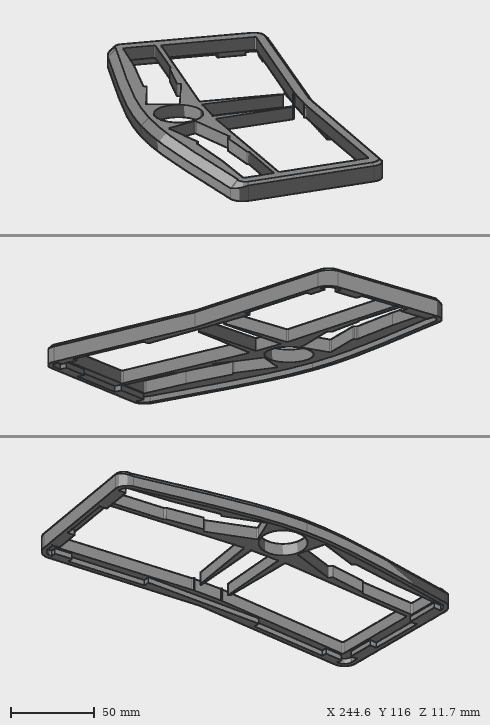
import cadquery as cq
import math

half_width = 122.3
back_y = 58.0
front_y = -58.0
height = 11.7

back_slope = math.radians(4.3)
side_tilt = math.radians(4.8)
front_slope = math.radians(11.3)
corner_radius = 8.5
front_corner_y = -31.8
front_bow = (49.0, -53.0)

back_bevel = 2.2
side_bevel = 1.7
front_bevel = 5.0
corner_steps = 8

window_tilt_degrees = 4.6
window_radius = 1.0
window_width = 96.0
window_depth = 58.5
window_inner_corner = (15.2, -16.0)

slot_half_width = 10.0
slot_back_y = 42.3
spine_tip_y = 34.0
spine_tip_slant = 1.2
tip_gap_back_y = 41.3

lower_window_points = [
    (112.0, -11.5),
    (73.5, -14.5),
    (73.0, -15.5),
    (47.7, -19.3),
    (46.2, -17.0),
    (14.7, -28.5),
    (21.3, -47.7),
    (48.5, -38.0),
    (50.1, -39.5),
    (83.0, -34.2),
    (113.5, -31.3),
]

ball_diameter = 29.3
ball_y = -34.2

recess_depth = 3.7
rim = 3.0

pad_gap = 1.5
pad_reach = 9.8
middle_pad_half_width = 40.8
middle_pad_y = 46.0
corner_pad_length = 12.0
side_pad_spans = [(35.2, 52.5), (-23.2, -1.5)]


def polar(center, radius, angle, z):
    """Point at an angle and distance around a centre, at height z."""
    return cq.Vector(
        center[0] + radius * math.cos(angle),
        center[1] + radius * math.sin(angle),
        z,
    )


back_angle = math.pi / 2 + back_slope
side_angle = side_tilt
front_angle = front_slope - math.pi / 2
front_center = (half_width - corner_radius, front_corner_y)
back_center_y = back_y - corner_radius
back_center = (
    front_center[0] - (back_center_y - front_corner_y) * math.tan(side_tilt),
    back_center_y,
)
back_tangent = polar(back_center, corner_radius, back_angle, 0)
back_middle_y = back_tangent.y - back_tangent.x * math.tan(back_slope)


def half_outline(inset_of, z_of):
    """Edges of the right half, from the back middle round to the front middle.

    inset_of and z_of give the inward shift and the height from the local bevel.
    """

    def corner(center, start_angle, end_angle, start_bevel, end_bevel):
        points = []
        for step in range(corner_steps + 1):
            share = step / corner_steps
            angle = start_angle + share * (end_angle - start_angle)
            bevel = start_bevel + share * (end_bevel - start_bevel)
            points.append(polar(center, corner_radius - inset_of(bevel), angle, z_of(bevel)))
        return points

    back_corner = corner(back_center, back_angle, side_angle, back_bevel, side_bevel)
    front_corner = corner(front_center, side_angle, front_angle, side_bevel, front_bevel)
    back_inset = inset_of(back_bevel) / math.cos(back_slope)
    back_start = cq.Vector(0, back_middle_y - back_inset, z_of(back_bevel))
    front_end = cq.Vector(0, front_y + inset_of(front_bevel), z_of(front_bevel))
    front_between = cq.Vector(
        front_bow[0], front_bow[1] + inset_of(front_bevel), z_of(front_bevel)
    )
    front_tangents = [
        cq.Vector(-math.cos(front_slope), -math.sin(front_slope), 0),
        cq.Vector(-1, 0, 0),
    ]
    return [
        cq.Edge.makeLine(back_start, back_corner[0]),
        cq.Edge.makeSpline(back_corner),
        cq.Edge.makeLine(back_corner[-1], front_corner[0]),
        cq.Edge.makeSpline(front_corner),
        cq.Edge.makeSpline([front_corner[-1], front_between, front_end], front_tangents),
    ]


def closed_wire(edges):
    """Half outline closed along the middle plane."""
    middle = cq.Edge.makeLine(edges[-1].endPoint(), edges[0].startPoint())
    return cq.Wire.assembleEdges(edges + [middle])


def half_body():
    """Right half of the solid frame: upright walls, bevels, flat top and bottom."""
    loops = [
        half_outline(lambda bevel: 0, lambda bevel: 0),
        half_outline(lambda bevel: 0, lambda bevel: height - bevel),
        half_outline(lambda bevel: bevel, lambda bevel: height),
    ]
    faces = []
    for lower, upper in zip(loops, loops[1:]):
        for lower_edge, upper_edge in zip(lower, upper):
            faces.append(cq.Face.makeRuledSurface(lower_edge, upper_edge))
    for loop in (loops[0], loops[-1]):
        faces.append(cq.Face.makeFromWires(closed_wire(loop)))
    section = [loop[0].startPoint() for loop in loops]
    section += [loop[-1].endPoint() for loop in reversed(loops)]
    faces.append(cq.Face.makeFromWires(cq.Wire.makePolygon(section, close=True)))
    half = cq.Solid.makeSolid(cq.Shell.makeShell(faces))
    return cq.Workplane(obj=half.fix())


def both_sides(half):
    """A shape joined with its mirror image across the YZ plane."""
    return half.union(half.mirror("YZ"))


def prism(points):
    """Straight-sided cutter through the full height."""
    return cq.Workplane("XY").polyline(points).close().extrude(height)


def window_block(start_x, start_y, width, depth, block_height):
    """Box set out along the sides of the right key window, from its inner front corner."""
    block = cq.Workplane("XY").box(width, depth, block_height, centered=False)
    return block.translate((start_x, start_y, 0))


def turned_with_window(block):
    """A block moved from the key window's own axes to its place on the frame."""
    corner_x, corner_y = window_inner_corner
    return block.rotate((0, 0, 0), (0, 0, 1), window_tilt_degrees).translate((corner_x, corner_y, 0))


def key_window():
    """Large tilted window of the right half."""
    window = window_block(0, 0, window_width, window_depth, height)
    return turned_with_window(window.edges("|Z").fillet(window_radius))


def middle_slot():
    """Slot between the spines, opening into the key windows behind the spine tips."""
    front = window_inner_corner[1]
    outer_x = slot_half_width + spine_tip_slant
    return prism(
        [
            (0, front),
            (slot_half_width, front),
            (slot_half_width, spine_tip_y + spine_tip_slant),
            (outer_x, spine_tip_y),
            (outer_x, tip_gap_back_y),
            (slot_half_width, tip_gap_back_y),
            (slot_half_width, slot_back_y),
            (0, slot_back_y),
        ]
    )


def underside_recess():
    """Right half of the shallow recess that leaves a rim below the outer edge."""
    wire = closed_wire(half_outline(lambda bevel: rim, lambda bevel: 0))
    return cq.Workplane(obj=cq.Solid.extrudeLinear(wire, [], cq.Vector(0, 0, recess_depth)))


def pads():
    """Pads of the right half: middle of the back, back corner and along the side."""
    middle_pad = cq.Workplane("XY").box(middle_pad_half_width, pad_reach, recess_depth, centered=False)
    blocks = window_block(
        window_width - corner_pad_length,
        window_depth + pad_gap,
        corner_pad_length,
        pad_reach,
        recess_depth,
    )
    for start, end in side_pad_spans:
        side_pad = window_block(window_width + pad_gap, start, pad_reach, end - start, recess_depth)
        blocks = blocks.union(side_pad)
    return turned_with_window(blocks).union(middle_pad.translate((0, middle_pad_y, 0)))


body = both_sides(half_body())
lower_window = prism(lower_window_points).edges("|Z").fillet(window_radius)
ball_opening = cq.Workplane("XY").center(0, ball_y).circle(ball_diameter / 2).extrude(height)

result = (
    body.cut(both_sides(underside_recess().cut(pads())))
    .cut(both_sides(key_window()))
    .cut(both_sides(middle_slot()))
    .cut(both_sides(lower_window))
    .cut(ball_opening)
)